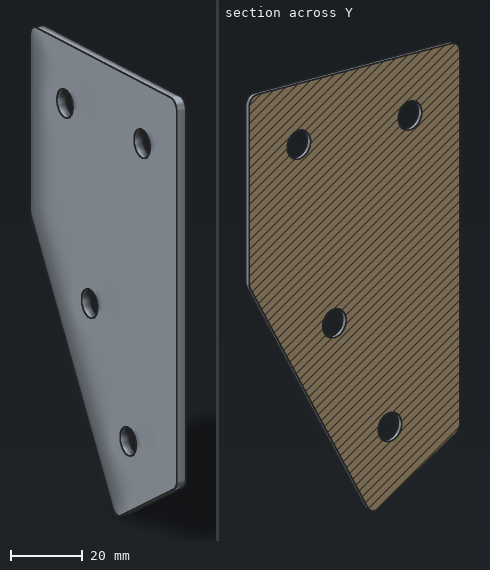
import cadquery as cq
import math

width = 76.0
height = 131.2
thickness = 3.0
corner_radius = 3.0
hole_diameter = 8.3
hole_spacing = 40.0
edge_margin = 18.0
arm_angle = 60.0

cos_arm = math.cos(math.radians(arm_angle))
sin_arm = math.sin(math.radians(arm_angle))
slope = sin_arm / cos_arm

corner_drop = corner_radius * (sin_arm + cos_arm - 1)
tip_z = -height - corner_drop
tip_hole_z = tip_z + edge_margin * (sin_arm + cos_arm)
tip_hole_x = 50.8
tip_x = tip_hole_x + edge_margin * (cos_arm - sin_arm)

left_corner_z = tip_z + tip_x * slope
right_corner_z = tip_z + (width - tip_x) / slope

outline = [
    (0, 0),
    (width, 0),
    (width, right_corner_z),
    (tip_x, tip_z),
    (0, left_corner_z),
]

hole_centres = [
    (edge_margin, -edge_margin),
    (edge_margin + hole_spacing, -edge_margin),
    (tip_hole_x, tip_hole_z),
    (tip_hole_x - hole_spacing * cos_arm, tip_hole_z + hole_spacing * sin_arm),
]

plate = cq.Workplane("XZ").polyline(outline).close().extrude(-thickness)
plate = plate.edges("|Y").fillet(corner_radius)

holes = (
    cq.Workplane("XZ")
    .pushPoints(hole_centres)
    .circle(hole_diameter / 2)
    .extrude(-thickness)
)

result = plate.cut(holes)